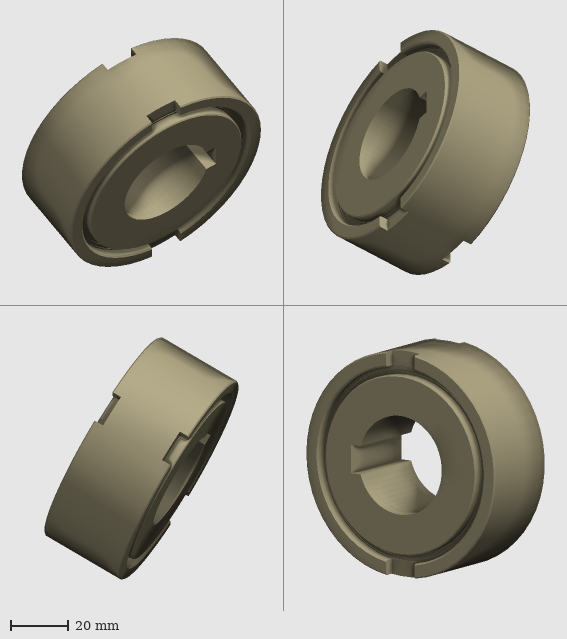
import cadquery as cq

outer_radius = 40.0
width = 31.0
half_width = width / 2
edge_chamfer = 0.5

recess_outer_radius = 34.8
recess_inner_radius = 31.8
recess_depth = 4.0
recess_chamfer = 0.6
hub_chamfer = 0.4
shield_outer_radius = 34.4
shield_inner_radius = 32.4
shield_step_radius = 33.4
shield_step = 0.4

bore_radius = 17.5
keyway_width = 10.0
keyway_reach = 20.8

slot_width = 12.0
slot_depth = 3.5


def make_body():
    """Cylinder with chamfered outer edges."""
    body = cq.Workplane("YZ").circle(outer_radius).extrude(half_width, both=True)
    return body.edges().chamfer(edge_chamfer)


def make_recess():
    """Annular recess at the -X end, with flared mouth and stepped floor."""
    face = -half_width
    floor = face + recess_depth
    profile = [
        (face, recess_inner_radius - hub_chamfer),
        (face + hub_chamfer, recess_inner_radius),
        (floor, recess_inner_radius),
        (floor, shield_inner_radius),
        (floor + shield_step, shield_inner_radius),
        (floor + shield_step, shield_step_radius),
        (floor, shield_step_radius),
        (floor, shield_outer_radius),
        (floor - shield_step, shield_outer_radius),
        (floor - shield_step, recess_outer_radius),
        (face + recess_chamfer, recess_outer_radius),
        (face, recess_outer_radius + recess_chamfer),
    ]
    return cq.Workplane("XY").polyline(profile).close().revolve(360, (0, 0, 0), (1, 0, 0))


def make_slots():
    """Pair of slots at the top and bottom of the rim at the -X end."""
    slots = cq.Workplane("XY").box(slot_depth, slot_width, 2 * outer_radius, centered=(False, True, True))
    core = cq.Workplane("YZ").circle(recess_outer_radius).extrude(slot_depth)
    return slots.cut(core).translate((-half_width, 0, 0))


def make_bore():
    """Through bore with a keyway on the +Y side."""
    bore = cq.Workplane("YZ").circle(bore_radius).extrude(half_width, both=True)
    keyway = cq.Workplane("XY").box(width, keyway_reach, keyway_width, centered=(True, False, True))
    return bore.union(keyway)


result = make_body().cut(make_bore())
for end_cut in (make_recess(), make_slots()):
    result = result.cut(end_cut).cut(end_cut.mirror("YZ"))